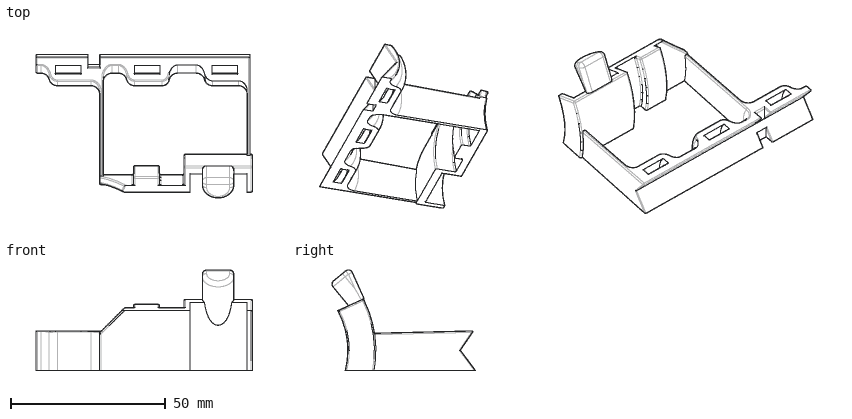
import cadquery as cq
import math


bar_length = 69.2
bar_height = 12.9
bar_axis_depth = -2.8
bar_axis_height = 6.45
groove_radius = 8.9
ridge_radius = 12.95
corner_radius = 2.8
wave_length = 5.3
ridge_starts = (6.9, 31.9, 57.1)
groove_ends = tuple(start - wave_length for start in ridge_starts)
middle_ridge_end = 40.75
crease_x = 43.1
last_groove_x = 45.8
vee_apex = (4.9, 6.6)
vee_top_depth = 0.6
top_slope = math.radians(1.35)

slot_length = 8.25
slot_centers = (10.4, 35.9, 61.05)
slot_inner_radius = 8.95
slot_outer_radius = 11.05

notch_start = 16.9
notch_width = 3.7
notch_upper_depth = 4.0
notch_lower_depth = 3.2

left_wall_x = 20.6
left_wall_thickness = 1.2
right_wall_thickness = 1.0
wall_end_depth = 40.25

plate_axis_depth = 68.2
plate_axis_height = 6.6
plate_end_x = 70.0
front_radius = 26.9
thin_radius = 29.3
tab_radius = 32.3
pocket_radius = 33.3
back_radius = 36.0
tab_x = (31.6, 39.9)
thick_start_x = 47.8
pocket_x = (49.85, 68.2)
plate_top_depth = 35.7
plate_top_height = 23.4
plate_top_slope = math.radians(24.3)
bevel_start_height = 12.25

lever_x = 58.9
lever_radius = 5.1
lever_tilt = math.radians(39.5)
lever_nose = (47.0, 28.15)
lever_back_depth = 36.0
lever_rounding = 1.4
lever_reach = 28.0

edge_rounding = 0.5
vee_rounding = 0.3
oversize = 42.0


def side_prism(points, x_start, x_end):
    """Prism along X whose outline is given as (depth, height) points."""
    outline = [(-depth, height) for depth, height in points]
    return cq.Workplane("YZ", origin=(x_start, 0, 0)).polyline(outline).close().extrude(x_end - x_start)


def edges_within(x_range, depth_range, height_range):
    """Selector for the edges whose centres lie inside the given ranges."""
    low = (x_range[0], -depth_range[1], height_range[0])
    high = (x_range[1], -depth_range[0], height_range[1])
    return cq.selectors.BoxSelector(low, high)


def around(value, margin=0.1):
    return (value - margin, value + margin)


def bar_top(depth):
    return bar_height - math.tan(top_slope) * depth


def plate_top(depth):
    return plate_top_height - math.tan(plate_top_slope) * (depth - plate_top_depth)


def tube_about_bar_axis(outer_radius, inner_radius, x_start, x_end):
    plane = cq.Workplane("YZ", origin=(x_start, -bar_axis_depth, bar_axis_height))
    return plane.circle(outer_radius).circle(inner_radius).extrude(x_end - x_start)


def wave(sketch, x_start, x_end, r_start, r_end):
    """S-shaped transition made of two equal arcs."""
    middle = ((x_start + x_end) / 2, -(r_start + r_end) / 2)
    sketch = sketch.tangentArcPoint(middle, relative=False)
    return sketch.tangentArcPoint((x_end, -r_end), relative=False)


def grip_bar():
    wall_inner_x = left_wall_x + left_wall_thickness
    wall_foot_radius = ridge_radius + corner_radius
    right_wall_x = bar_length - right_wall_thickness

    sketch = cq.Workplane("XY", origin=(0, -bar_axis_depth, bar_axis_height)).lineTo(0, -groove_radius)
    sketch = sketch.lineTo(groove_ends[0], -groove_radius)
    sketch = wave(sketch, groove_ends[0], ridge_starts[0], groove_radius, ridge_radius)
    sketch = sketch.lineTo(left_wall_x - corner_radius, -ridge_radius)
    sketch = sketch.tangentArcPoint((left_wall_x, -wall_foot_radius), relative=False)
    sketch = sketch.lineTo(wall_inner_x, -wall_foot_radius)
    sketch = sketch.lineTo(wall_inner_x, -groove_radius - corner_radius)
    sketch = sketch.tangentArcPoint((wall_inner_x + corner_radius, -groove_radius), relative=False)
    sketch = sketch.lineTo(groove_ends[1], -groove_radius)
    sketch = wave(sketch, groove_ends[1], ridge_starts[1], groove_radius, ridge_radius)
    sketch = sketch.lineTo(middle_ridge_end, -ridge_radius)
    half_rise = (ridge_radius - groove_radius) / 2
    crease = (crease_x, -groove_radius - half_rise)
    sketch = sketch.tangentArcPoint(crease, relative=False)
    crease_run = last_groove_x - crease_x
    crease_arc_radius = (crease_run**2 + half_rise**2) / (2 * half_rise)
    sketch = sketch.radiusArc((last_groove_x, -groove_radius), crease_arc_radius)
    sketch = sketch.lineTo(groove_ends[2], -groove_radius)
    sketch = wave(sketch, groove_ends[2], ridge_starts[2], groove_radius, ridge_radius)
    sketch = sketch.lineTo(right_wall_x - corner_radius, -ridge_radius)
    sketch = sketch.tangentArcPoint((right_wall_x, -wall_foot_radius), relative=False)
    sketch = sketch.lineTo(bar_length, -wall_foot_radius).lineTo(bar_length, 0).close()
    body = sketch.revolve(360, (0, 0, 0), (1, 0, 0))

    front = wall_foot_radius
    section = [(0, 0), vee_apex, (vee_top_depth, bar_top(vee_top_depth)), (front, bar_top(front)), (front, 0)]
    return body.intersect(side_prism(section, 0, bar_length))


def strap_slots():
    slots = cq.Workplane()
    for center in slot_centers:
        start = center - slot_length / 2
        ring = tube_about_bar_axis(slot_outer_radius, slot_inner_radius, start, start + slot_length)
        slots = slots.add(ring)
    return slots.combine()


def notch():
    end = notch_start + notch_width
    lower = side_prism([(-0.7, 0), (-0.7, bar_height), (notch_lower_depth, bar_height), (notch_lower_depth, 0)],
                       notch_start, end)
    middle = vee_apex[1]
    upper = side_prism([(-0.7, middle), (-0.7, bar_height), (notch_upper_depth, bar_height),
                        (notch_upper_depth, middle)], notch_start, end)
    return lower.union(upper)


def wall(x_start, thickness):
    start = vee_apex[0] + 2.1
    section = [(start, 0), (start, bar_top(start)), (wall_end_depth, bar_top(wall_end_depth)),
               (wall_end_depth, 0)]
    return side_prism(section, x_start, x_start + thickness)


def plate_section(drop=0):
    """Slice of the plate's height between the base and its sloping top, lowered by `drop`."""
    back = plate_axis_depth - back_radius - 0.7
    front = plate_axis_depth - front_radius + 7
    outline = [(back, 0), (back, plate_top(back) - drop), (front, plate_top(front) - drop), (front, 0)]
    return side_prism(outline, left_wall_x, plate_end_x)


def plate_profile():
    """Plane of (x, radius) points about the plate axis."""
    return cq.Workplane("XY", origin=(0, -plate_axis_depth, plate_axis_height))


def front_plate():
    outline = [
        (left_wall_x, front_radius),
        (pocket_x[0], front_radius),
        (pocket_x[0], pocket_radius),
        (pocket_x[1], pocket_radius),
        (pocket_x[1], front_radius),
        (plate_end_x, front_radius),
        (plate_end_x, back_radius),
        (thick_start_x, back_radius),
        (thick_start_x, thin_radius),
        (tab_x[1], thin_radius),
        (tab_x[1], tab_radius),
        (tab_x[0], tab_radius),
        (tab_x[0], thin_radius),
        (left_wall_x, thin_radius),
    ]
    ring = plate_profile().polyline(outline).close().revolve(360, (0, 0, 0), (1, 0, 0))
    plate = ring.intersect(plate_section())
    bevel = (
        cq.Workplane("XZ")
        .moveTo(left_wall_x, bevel_start_height)
        .line(oversize, oversize)
        .line(-oversize, 0)
        .close()
        .extrude(2 * oversize)
    )
    plate = round_plate(plate.cut(bevel))
    for x, side in ((tab_x[0], -1), (tab_x[1], 1), (thick_start_x, -1)):
        plate = plate.union(cove(x, side))
    return plate


def round_plate(plate):
    any_depth = (0, plate_axis_depth)
    nearest_front = plate_axis_depth - front_radius
    thin_back = plate_axis_depth - thin_radius
    upright_height = (bar_height / 3, bar_height)
    top_height = (plate_top(nearest_front), plate_top_height + 0.7)
    selection = edges_within(around(plate_end_x), any_depth, (bar_height / 3, plate_top_height))
    selection += edges_within(around(left_wall_x), (nearest_front, nearest_front + 0.7), upright_height)
    for x in (*tab_x, thick_start_x):
        selection += edges_within(around(x), (0, thin_back - 0.7), upright_height)
    selection += edges_within((tab_x[0] - 0.1, tab_x[1] + 0.1), (thin_back - 0.7, nearest_front), top_height)
    selection += edges_within((pocket_x[0], pocket_x[1]), around(plate_top_depth, 1.4), top_height)
    selection += edges_within(around(thick_start_x), (plate_top_depth, nearest_front), top_height)
    selection += edges_within((left_wall_x + 0.7, tab_x[0] - 2.8), (thin_back, plate_axis_depth),
                              (bevel_start_height + 1.4, plate_top_height))
    return plate.edges(selection).fillet(edge_rounding)


def cove(x, side):
    """Concave rounding between the thin stretch and a step at `x` that faces `side`."""
    profile = (
        plate_profile()
        .moveTo(x, thin_radius - edge_rounding)
        .lineTo(x + side * edge_rounding, thin_radius - edge_rounding)
        .lineTo(x + side * edge_rounding, thin_radius)
        .radiusArc((x, thin_radius + edge_rounding), side * edge_rounding)
        .close()
    )
    ring = profile.revolve(360, (0, 0, 0), (1, 0, 0))
    return ring.intersect(plate_section(drop=edge_rounding))


def lever():
    nose_depth, nose_height = lever_nose
    direction = (0, -math.sin(lever_tilt), math.cos(lever_tilt))
    plane = cq.Plane(origin=(lever_x, -nose_depth, nose_height), xDir=(1, 0, 0), normal=direction)
    body = (
        cq.Workplane(plane)
        .moveTo(-lever_radius, lever_reach)
        .lineTo(-lever_radius, lever_radius)
        .threePointArc((0, 0), (lever_radius, lever_radius))
        .lineTo(lever_radius, lever_reach)
        .close()
        .extrude(-lever_reach)
    )
    back_direction = (0, -math.sin(plate_top_slope), math.cos(plate_top_slope))
    back_plane = cq.Plane(
        origin=(lever_x, -lever_back_depth, plate_top(lever_back_depth)),
        xDir=(1, 0, 0),
        normal=back_direction,
    )
    back_rounding = (
        cq.Workplane(back_plane)
        .center(0, -lever_reach / 2)
        .rect(2 * lever_radius, lever_reach)
        .extrude(lever_reach, both=True)
        .edges(cq.selectors.ParallelDirSelector(cq.Vector(*back_direction)))
        .fillet(lever_rounding)
    )
    body = body.intersect(back_rounding)
    cap_face = cq.selectors.DirectionMinMaxSelector(plane.zDir, True)
    body = body.faces(cap_face).edges().fillet(lever_rounding)
    buried = (
        cq.Workplane("YZ", origin=(0, -plate_axis_depth, plate_axis_height))
        .circle(back_radius - edge_rounding)
        .extrude(plate_end_x)
    )
    back = plate_top_depth - oversize
    front = plate_top_depth + oversize
    exposed = side_prism([(back, plate_top(back)), (back, 2 * oversize), (front, 2 * oversize),
                          (front, plate_top(front))], 0, plate_end_x)
    return body.intersect(buried.union(exposed))


def round_frame(frame):
    """Round the bar and walls; the ridge rims are rounded only up to the crease."""
    left_half = cq.Workplane("XY").box(crease_x, 2 * oversize, 2 * oversize, centered=(False, True, True))
    left = frame.intersect(left_half)
    right = frame.cut(left_half)
    rim_depth = (ridge_radius + bar_axis_depth - corner_radius, ridge_radius + bar_axis_depth)
    rims = edges_within((ridge_starts[0], middle_ridge_end), rim_depth, (bar_height - 0.7, bar_height))
    end_curve = edges_within(around(0), (vee_apex[0], vee_apex[0] + 1.4), around(bar_axis_height, 1.4))
    left = left.edges(rims + end_curve).fillet(edge_rounding)
    frame = left.union(right)

    any_x = (-0.7, bar_length + 0.7)
    vee_edges = edges_within(any_x, (-0.7, notch_lower_depth - 0.1), (0.1, bar_height + 0.7))
    notch_edge = edges_within((notch_start, notch_start + notch_width), around(notch_upper_depth),
                              around(bar_top(notch_upper_depth)))
    wall_top = edges_within(around(bar_length), (vee_apex[0], wall_end_depth), (bar_height - 1.4, bar_height))
    frame = frame.edges(notch_edge + wall_top).fillet(edge_rounding)
    return frame.edges(vee_edges).fillet(vee_rounding)


frame = grip_bar().cut(notch())
frame = frame.union(wall(left_wall_x, left_wall_thickness))
frame = frame.union(wall(bar_length - right_wall_thickness, right_wall_thickness))
frame = round_frame(frame).cut(strap_slots())
result = frame.union(front_plate()).union(lever())